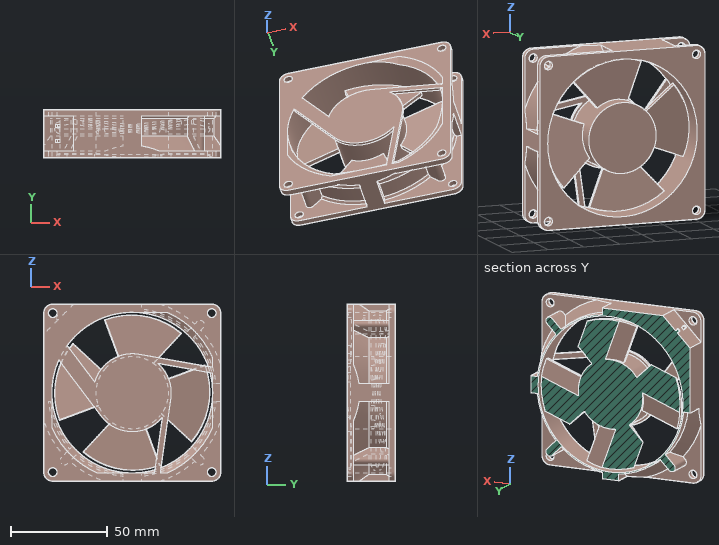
import cadquery as cq
import math

SIDE = 92.0
DEPTH = 25.0
CORNER_RADIUS = 4.8
FRONT_FLANGE = 3.4
REAR_FLANGE = 3.2
HOLE_PITCH = 82.5
HOLE_DIAMETER = 4.4

BORE_RADIUS = 41.7
WALL = 1.0
FRONT_CONE_Y = -1.3
REAR_CONE_Y = 7.8
CONE_ANGLE = 35.0
FLARE_RADIUS = 45.45
FLARE_ANGLE = 60.0

SIDE_RIB_WIDTH = 9.4
CORNER_RIB_WIDTH = 4.5
CORNER_RIB_END = 35.2

NOTCH_LEG = 15.6
PIN_SPACING = 7.8
PIN_WIDTH = 1.7
PIN_THICKNESS = 1.4
PIN_HEIGHT = 1.7

MOTOR_RADIUS = 20.2
MOTOR_PLATE_THICKNESS = 1.7
THIN_SPOKE = 3.0
WIDE_SPOKE = 8.0
SPOKE_REACH = 40.9
SPOKES = [(80.0, THIN_SPOKE), (-8.0, THIN_SPOKE), (217.0, WIDE_SPOKE)]

ROTOR_RADIUS = 18.8
BLADE_COUNT = 4
BLADE_RADIUS = 40.4
BLADE_LEAD_ANGLE = 110.4
BLADE_TIP_SWEEP = 60.4
BLADE_ROOT_SWEEP = 56.8
BLADE_PITCH = 8.5
BLADE_Y = -0.1
BLADE_THICKNESS = 2.5

HALF = SIDE / 2
FRONT_Y = -DEPTH / 2
REAR_Y = DEPTH / 2
INNER_FRONT_Y = FRONT_Y + FRONT_FLANGE
INNER_REAR_Y = REAR_Y - REAR_FLANGE
GAP = INNER_REAR_Y - INNER_FRONT_Y
SHELL_RADIUS = BORE_RADIUS + WALL


def section(y):
    """Plane square to the fan axis; a negative extrusion runs toward the rear (+Y)."""
    return cq.Workplane("XZ", origin=(0, y, 0))


def flange(y, thickness):
    plate = section(y).rect(SIDE, SIDE).extrude(-thickness)
    return plate.edges("|Y").fillet(CORNER_RADIUS)


def duct_shell():
    """Solid duct body, coned outward at both ends and trimmed to the square outline."""
    slope = math.tan(math.radians(CONE_ANGLE))
    front_radius = SHELL_RADIUS + (FRONT_CONE_Y - INNER_FRONT_Y) * slope
    rear_radius = SHELL_RADIUS + (INNER_REAR_Y - REAR_CONE_Y) * slope
    outline = [
        (0, INNER_FRONT_Y),
        (front_radius, INNER_FRONT_Y),
        (SHELL_RADIUS, FRONT_CONE_Y),
        (SHELL_RADIUS, REAR_CONE_Y),
        (rear_radius, INNER_REAR_Y),
        (0, INNER_REAR_Y),
    ]
    shell = cq.Workplane("XY").polyline(outline).close().revolve(360, (0, 0), (0, 1))
    return shell.intersect(cq.Workplane("XY").box(SIDE, DEPTH, SIDE))


def ribs():
    """Straight ribs to the middle of each side and round-ended ribs toward the corners."""
    body = section(INNER_FRONT_Y).rect(SIDE, SIDE_RIB_WIDTH).extrude(-GAP)
    body = body.union(section(INNER_FRONT_Y).rect(SIDE_RIB_WIDTH, SIDE).extrude(-GAP))
    length = 2 * CORNER_RIB_END * math.sqrt(2) + CORNER_RIB_WIDTH
    for angle in (45, -45):
        rib = section(INNER_FRONT_Y).slot2D(length, CORNER_RIB_WIDTH, angle).extrude(-GAP)
        body = body.union(rib)
    return body


def terminal_corner():
    """Solid quarter with its corner cut off at 45 degrees, carrying two terminal pins."""
    outline = [
        (0, 0),
        (-HALF, 0),
        (-HALF, HALF - NOTCH_LEG),
        (NOTCH_LEG - HALF, HALF),
        (0, HALF),
    ]
    block = section(INNER_FRONT_Y).polyline(outline).close().extrude(-GAP)
    face_centre = HALF - NOTCH_LEG / 2
    y_middle = (INNER_FRONT_Y + INNER_REAR_Y) / 2
    face = cq.Plane(origin=(-face_centre, y_middle, face_centre), xDir=(0, 1, 0), normal=(-1, 0, 1))
    pins = cq.Workplane(face).rarray(PIN_SPACING, 0.9, 2, 1).rect(PIN_THICKNESS, PIN_WIDTH)
    return block.union(pins.extrude(PIN_HEIGHT))


def front_flare():
    """Tapered inlet, a cone with four flat sides, absent from the terminal quarter."""
    slope = math.tan(math.radians(FLARE_ANGLE))
    depth = (FLARE_RADIUS - BORE_RADIUS) / slope
    cone = section(FRONT_Y).circle(FLARE_RADIUS).extrude(-depth, taper=FLARE_ANGLE)
    pyramid = section(FRONT_Y).rect(2 * BORE_RADIUS, 2 * BORE_RADIUS).extrude(-depth, taper=FLARE_ANGLE)
    terminal_quarter = section(FRONT_Y).rect(-HALF, HALF, centered=False).extrude(-depth)
    return cone.intersect(pyramid).cut(terminal_quarter)


def spoke(angle, width):
    """Bar whose outer edge is tangent to the motor plate."""
    bar = section(FRONT_Y).center(MOTOR_RADIUS - width / 2, -SPOKE_REACH / 2)
    bar = bar.rect(width, SPOKE_REACH).extrude(-MOTOR_PLATE_THICKNESS)
    return bar.rotate((0, 0, 0), (0, 1, 0), -angle)


def blade():
    """Flat blade tilted about its radial leading edge."""
    def polar(radius, degrees):
        angle = math.radians(degrees)
        return (radius * math.cos(angle), radius * math.sin(angle))

    lead_x, lead_z = polar(1, BLADE_LEAD_ANGLE)
    flat = cq.Plane(origin=(0, BLADE_Y, 0), xDir=(lead_x, 0, lead_z), normal=(0, 1, 0))
    outline = (
        cq.Workplane(flat.rotated((BLADE_PITCH, 0, 0)))
        .lineTo(BLADE_RADIUS, 0)
        .threePointArc(polar(BLADE_RADIUS, BLADE_TIP_SWEEP / 2), polar(BLADE_RADIUS, BLADE_TIP_SWEEP))
        .lineTo(*polar(ROTOR_RADIUS, BLADE_ROOT_SWEEP))
        .close()
    )
    return outline.extrude(BLADE_THICKNESS)


def motor_plate():
    body = section(FRONT_Y).circle(MOTOR_RADIUS).extrude(-MOTOR_PLATE_THICKNESS)
    for angle, width in SPOKES:
        body = body.union(spoke(angle, width))
    return body


def rotor():
    body = section(FRONT_Y).circle(ROTOR_RADIUS).extrude(-DEPTH)
    for number in range(BLADE_COUNT):
        body = body.union(blade().rotate((0, 0, 0), (0, 1, 0), number * 360 / BLADE_COUNT))
    return body


frame = flange(FRONT_Y, FRONT_FLANGE).union(flange(INNER_REAR_Y, REAR_FLANGE))
frame = frame.union(duct_shell()).union(ribs()).union(terminal_corner())
frame = frame.cut(section(FRONT_Y).circle(BORE_RADIUS).extrude(-DEPTH))
frame = frame.cut(front_flare())
holes = section(FRONT_Y).rarray(HOLE_PITCH, HOLE_PITCH, 2, 2).circle(HOLE_DIAMETER / 2)
frame = frame.cut(holes.extrude(-DEPTH))

result = frame.union(motor_plate()).union(rotor())